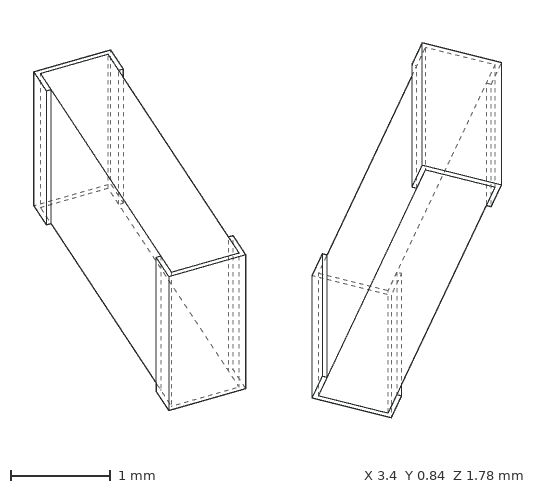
import cadquery as cq

length = 3.4
depth = 0.84
height = 1.78

cap_width = 0.32
wall = 0.05

body_length = length - 2 * wall
body_depth = depth - 2 * wall


def make_body():
    """Plain rectangular block that fills the space between and inside the caps."""
    return cq.Workplane("XY").box(body_length, body_depth, height)


def make_end_cap(side, body):
    """U-shaped cap around one end of the body; side is -1 for -X and +1 for +X."""
    cap_center = side * (length - cap_width) / 2
    block = cq.Workplane("XY").box(cap_width, depth, height).translate((cap_center, 0, 0))
    return block.cut(body)


body = make_body()
end_caps = [make_end_cap(side, body) for side in (-1, 1)]

result = cq.Compound.makeCompound([body.val(), *[cap.val() for cap in end_caps]])